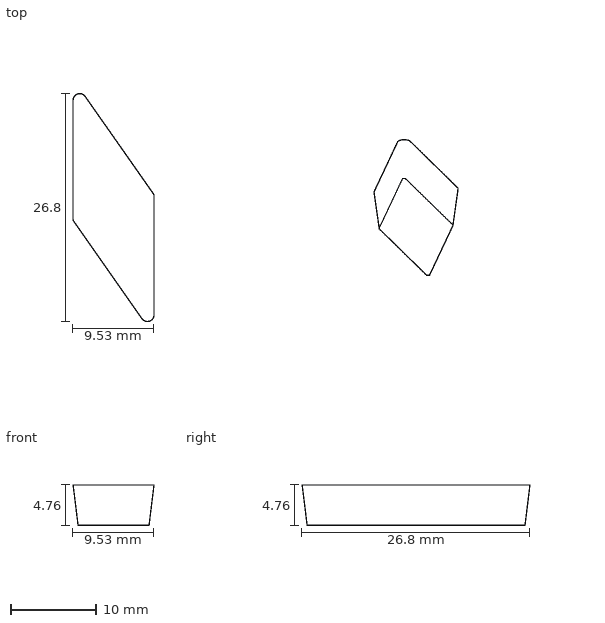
import cadquery as cq
import math

inscribed_circle = 9.525
thickness = 4.76
point_angle = 35.0
relief_angle = 7.0
nose_radius = 0.794
side_corner_radius = 0.4

point = math.radians(point_angle)
half_width = inscribed_circle / 2
edge_length = inscribed_circle / math.sin(point)
edge_rise = inscribed_circle / math.tan(point)

tip_y = (edge_length + edge_rise) / 2
side_y = tip_y - edge_length
left_tip = (-half_width, tip_y)
left_side = (-half_width, side_y)
right_tip = (half_width, -tip_y)
right_side = (half_width, -side_y)


def top_outline():
    """Rhombus with only its two acute points rounded."""
    outline = cq.Sketch().polygon([left_tip, left_side, right_tip, right_side, left_tip])
    return outline.vertices("<Y or >Y").fillet(nose_radius)


def tapered_body():
    """Top outline extruded down to Z = 0; the noses become cones narrowing downwards."""
    top_plane = cq.Workplane("XY").workplane(offset=thickness)
    return top_plane.placeSketch(top_outline()).extrude(-thickness, taper=relief_angle)


def round_side_corners(body):
    """Round the two slanted edges where flanks meet at the obtuse corners."""
    for x, y in (left_side, right_side):
        corner_edge = cq.NearestToPointSelector((x, y, thickness / 2))
        body = body.edges(corner_edge).fillet(side_corner_radius)
    return body


result = round_side_corners(tapered_body())